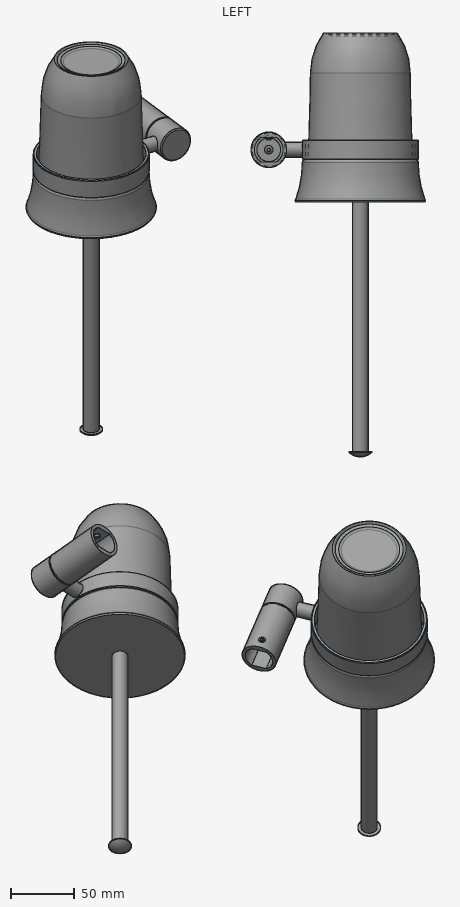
import cadquery as cq

TOTAL_HEIGHT = 336.5
TUMBLER_TOP_Z = 134.3
HANDLE_TIP_Z = TUMBLER_TOP_Z - TOTAL_HEIGHT

LID_RIM_RADIUS = 51.8
LID_RIM_HEIGHT = 2.7
LID_RIM_ROUNDING = 0.7
LID_WAIST_RADIUS = 47.5
LID_WAIST_Z = 16.8
LID_TOP_RADIUS = 46.0
LID_TOP_Z = 33.5
LID_TOP_FILLET = 2.0

COLLAR_OUTER_RADIUS = 46.0
COLLAR_INNER_RADIUS = 43.5
COLLAR_HEIGHT = 15.8
COLLAR_CHAMFER = 0.7
COLLAR_MID_Z = LID_TOP_Z + COLLAR_HEIGHT / 2

TUMBLER_MOUTH_RADIUS = 41.7
TUMBLER_SHOULDER_RADIUS = 39.7
TUMBLER_SHOULDER_Z = 102.3
TUMBLER_DOME_MID_RADIUS = 37.5
TUMBLER_DOME_MID_Z = 118.0
TUMBLER_FOOT_RADIUS = 29.3
FOOT_LAND_RADIUS = 28.0
FOOT_ROUNDING = 1.0
DISH_STEP_RADIUS = 24.2
DISH_STEP_DEPTH = 1.5
DISH_FLOOR_RADIUS = 22.2
DISH_DEPTH = 2.5
DISH_CURVE_RADIUS = 2.7

ROD_RADIUS = 6.5
BUTTON_RADIUS = 9.0
BUTTON_EDGE_HEIGHT = 0.7
BUTTON_DOME_HEIGHT = 3.7

MOUNT_RADIUS = 14.0
MOUNT_Y = 72.7
MOUNT_Z = COLLAR_MID_Z
ARM_RADIUS = 6.0
PIVOT_START_X = -11.8
PIVOT_END_X = 11.0
PIVOT_CHAMFER = 1.0

SLEEVE_FREE_X = -59.5
SLEEVE_INNER_X = PIVOT_START_X
SLEEVE_END_WALL = 5.0
BORE_RADIUS = 11.5
BORE_HALF_HEIGHT = 9.8

PLUG_RADIUS = 9.5
PLUG_NUB_RADIUS = 3.5
PLUG_NUB_TIP_RADIUS = 1.5
PLUG_NUB_HEIGHT = 2.0

SCREW_X = -51.5
SCREW_RADIUS = 2.7
SCREW_TIP_RADIUS = 1.5
SCREW_TAPER = 1.5
SCREW_PROTRUSION = 2.0
SCREW_HEAD_RECESS = 0.5
SOCKET_RADIUS = 1.5
SOCKET_DEPTH = 2.5


def revolve_about_z(profile):
    """Turn a closed profile, drawn as (radius, height) on XZ, about the Z axis."""
    return profile.close().revolve(360, (0, 0, 0), (0, 1, 0))


def x_cylinder(radius, start_x, end_x):
    """Cylinder along the mount axis."""
    return (
        cq.Workplane("YZ", origin=(start_x, MOUNT_Y, MOUNT_Z))
        .circle(radius)
        .extrude(end_x - start_x)
    )


def make_lid():
    profile = (
        cq.Workplane("XZ")
        .lineTo(LID_RIM_RADIUS - LID_RIM_ROUNDING, 0)
        .lineTo(LID_RIM_RADIUS, LID_RIM_HEIGHT / 2)
        .lineTo(LID_RIM_RADIUS - LID_RIM_ROUNDING, LID_RIM_HEIGHT)
        .threePointArc((LID_WAIST_RADIUS, LID_WAIST_Z), (LID_TOP_RADIUS, LID_TOP_Z - LID_TOP_FILLET))
        .radiusArc((LID_TOP_RADIUS - LID_TOP_FILLET, LID_TOP_Z), -LID_TOP_FILLET)
        .lineTo(0, LID_TOP_Z)
    )
    return revolve_about_z(profile)


def make_collar():
    return (
        cq.Workplane("XY", origin=(0, 0, LID_TOP_Z))
        .circle(COLLAR_OUTER_RADIUS)
        .extrude(COLLAR_HEIGHT)
        .edges("%CIRCLE")
        .chamfer(COLLAR_CHAMFER)
        .faces(">Z")
        .workplane()
        .hole(2 * COLLAR_INNER_RADIUS)
    )


def make_tumbler():
    profile = (
        cq.Workplane("XZ")
        .moveTo(0, LID_TOP_Z)
        .lineTo(TUMBLER_MOUTH_RADIUS, LID_TOP_Z)
        .lineTo(TUMBLER_SHOULDER_RADIUS, TUMBLER_SHOULDER_Z)
        .threePointArc(
            (TUMBLER_DOME_MID_RADIUS, TUMBLER_DOME_MID_Z),
            (TUMBLER_FOOT_RADIUS, TUMBLER_TOP_Z),
        )
        .lineTo(FOOT_LAND_RADIUS, TUMBLER_TOP_Z)
        .radiusArc((FOOT_LAND_RADIUS - FOOT_ROUNDING, TUMBLER_TOP_Z - FOOT_ROUNDING), -FOOT_ROUNDING)
        .lineTo(DISH_STEP_RADIUS, TUMBLER_TOP_Z - DISH_STEP_DEPTH)
        .radiusArc((DISH_FLOOR_RADIUS, TUMBLER_TOP_Z - DISH_DEPTH), DISH_CURVE_RADIUS)
        .lineTo(0, TUMBLER_TOP_Z - DISH_DEPTH)
    )
    return revolve_about_z(profile)


def make_handle():
    button_edge_z = HANDLE_TIP_Z + BUTTON_DOME_HEIGHT
    button_top_z = button_edge_z + BUTTON_EDGE_HEIGHT
    dome_radius = (BUTTON_RADIUS**2 + BUTTON_DOME_HEIGHT**2) / (2 * BUTTON_DOME_HEIGHT)
    profile = (
        cq.Workplane("XZ")
        .moveTo(0, HANDLE_TIP_Z)
        .radiusArc((BUTTON_RADIUS, button_edge_z), -dome_radius)
        .lineTo(BUTTON_RADIUS, button_top_z)
        .lineTo(ROD_RADIUS, button_top_z)
        .lineTo(ROD_RADIUS, 0)
        .lineTo(0, 0)
    )
    return revolve_about_z(profile)


def make_bracket():
    """Pivot cylinder with the arm that reaches to the collar."""
    pivot = x_cylinder(MOUNT_RADIUS, PIVOT_START_X, PIVOT_END_X)
    pivot = pivot.edges("%CIRCLE").chamfer(PIVOT_CHAMFER)
    arm = (
        cq.Workplane("XZ", origin=(0, MOUNT_Y, MOUNT_Z))
        .circle(ARM_RADIUS)
        .extrude(MOUNT_Y)
    )
    collar_space = (
        cq.Workplane("XY", origin=(0, 0, LID_TOP_Z))
        .circle(COLLAR_OUTER_RADIUS)
        .extrude(COLLAR_HEIGHT)
    )
    return pivot.union(arm.cut(collar_space))


def make_sleeve():
    bore_floor_x = SLEEVE_INNER_X - SLEEVE_END_WALL
    bore_length = bore_floor_x - SLEEVE_FREE_X
    bore_middle = (SLEEVE_FREE_X + bore_length / 2, MOUNT_Y, MOUNT_Z)
    bore_flats = cq.Workplane("XY", origin=bore_middle).box(
        bore_length, 2 * BORE_RADIUS, 2 * BORE_HALF_HEIGHT
    )
    bore = x_cylinder(BORE_RADIUS, SLEEVE_FREE_X, bore_floor_x).intersect(bore_flats)
    plug_hole = x_cylinder(PLUG_RADIUS, bore_floor_x, SLEEVE_INNER_X)
    screw_hole = (
        cq.Workplane("XY", origin=(SCREW_X, MOUNT_Y, MOUNT_Z))
        .circle(SCREW_RADIUS)
        .extrude(MOUNT_RADIUS)
    )
    tube = x_cylinder(MOUNT_RADIUS, SLEEVE_FREE_X, SLEEVE_INNER_X)
    return tube.cut(bore).cut(plug_hole).cut(screw_hole)


def make_plug():
    """Round plug filling the sleeve end wall, with a cone-shaped nub facing the bore."""
    plug_face_x = SLEEVE_INNER_X - SLEEVE_END_WALL
    plug = x_cylinder(PLUG_RADIUS, plug_face_x, SLEEVE_INNER_X)
    nub = (
        plug.faces("<X")
        .workplane(origin=(plug_face_x, MOUNT_Y, MOUNT_Z))
        .circle(PLUG_NUB_RADIUS)
        .workplane(offset=PLUG_NUB_HEIGHT)
        .circle(PLUG_NUB_TIP_RADIUS)
        .loft(combine=False)
    )
    return plug.union(nub)


def make_set_screw():
    """Cone-pointed screw with a round socket, reaching from the sleeve top into the bore."""
    head_z = MOUNT_RADIUS - SCREW_HEAD_RECESS
    tip_z = BORE_HALF_HEIGHT - SCREW_PROTRUSION
    profile = (
        cq.Workplane("XZ")
        .moveTo(0, tip_z)
        .lineTo(SCREW_TIP_RADIUS, tip_z)
        .lineTo(SCREW_RADIUS, tip_z + SCREW_TAPER)
        .lineTo(SCREW_RADIUS, head_z)
        .lineTo(SOCKET_RADIUS, head_z)
        .lineTo(SOCKET_RADIUS, head_z - SOCKET_DEPTH)
        .lineTo(0, head_z - SOCKET_DEPTH)
    )
    return revolve_about_z(profile).translate((SCREW_X, MOUNT_Y, MOUNT_Z))


lid = make_lid()
collar = make_collar()
tumbler = make_tumbler()
handle = make_handle()
bracket = make_bracket()
sleeve = make_sleeve()
plug = make_plug()
set_screw = make_set_screw()

result = cq.Compound.makeCompound(
    [
        lid.val(),
        collar.val(),
        tumbler.val(),
        handle.val(),
        bracket.val(),
        sleeve.val(),
        plug.val(),
        set_screw.val(),
    ]
)